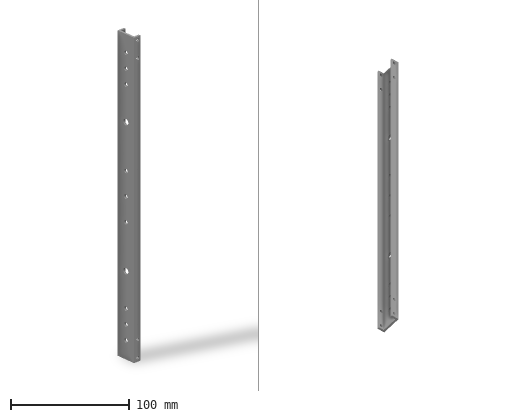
import cadquery as cq
length = 304.8
width = 20.0
depth = 7.3
wall = 1.98

small_hole_diameter = 4.0
large_hole_diameter = 6.0
middle_hole_offset = 24.0
large_hole_offset = 69.8
end_hole_pitch = 15.0
end_group_centre = 119.8

flange_hole_diameter = 3.0
flange_hole_edge_distance = 2.7
flange_hole_offsets = (131.7, 148.7)


def make_channel():
    """U-shaped bar centred on the origin."""
    bar = cq.Workplane("XY").box(width, depth, length)
    cavity = (
        cq.Workplane("XY")
        .box(width - 2 * wall, depth - wall, length)
        .translate((0, wall / 2, 0))
    )
    return bar.cut(cavity)


def mirrored(offsets):
    """The given heights above and below the middle of the bar."""
    return [side * offset for offset in offsets for side in (1, -1)]


def web_holes(diameter, heights):
    """Cylinders along Y through the web."""
    return (
        cq.Workplane("XZ")
        .pushPoints([(0, z) for z in heights])
        .circle(diameter / 2)
        .extrude(depth, both=True)
    )


def flange_holes(diameter, heights):
    """Cylinders along X through both flanges."""
    y = depth / 2 - flange_hole_edge_distance
    return (
        cq.Workplane("YZ")
        .pushPoints([(y, z) for z in heights])
        .circle(diameter / 2)
        .extrude(width, both=True)
    )


end_hole_offsets = [end_group_centre + step * end_hole_pitch for step in (-1, 0, 1)]
small_hole_heights = [0] + mirrored([middle_hole_offset] + end_hole_offsets)

result = (
    make_channel()
    .cut(web_holes(small_hole_diameter, small_hole_heights))
    .cut(web_holes(large_hole_diameter, mirrored([large_hole_offset])))
    .cut(flange_holes(flange_hole_diameter, mirrored(flange_hole_offsets)))
)